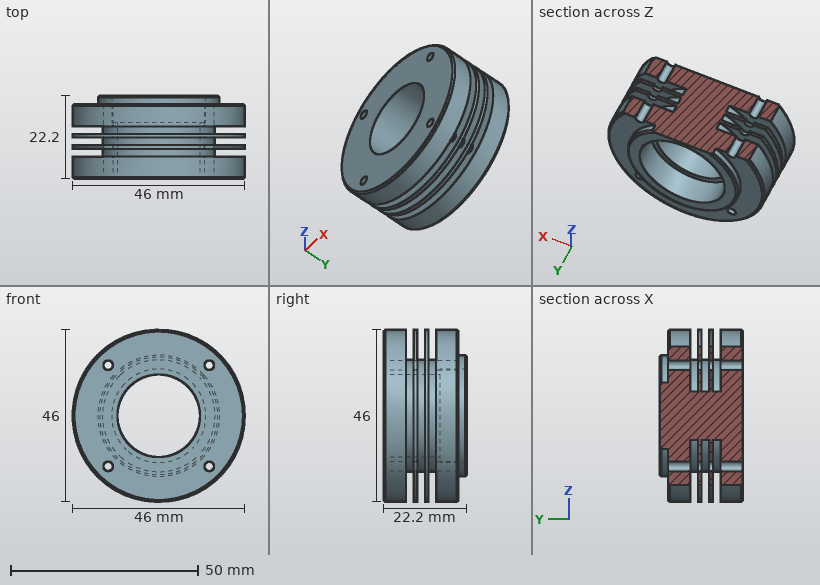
import cadquery as cq

outer_diameter = 46
core_diameter = 30.0
boss_diameter = 32.5
bore_diameter = 22.0
counterbore_diameter = 25.1

flange_width = 6
body_length = 20.0
fin_width = 1.0
fin_count = 2
boss_length = 2.2
counterbore_depth = 7.23
edge_chamfer = 0.5

hole_diameter = 2.5
hole_spacing = 27.0

groove_length = body_length - 2 * flange_width
gap_width = (groove_length - fin_count * fin_width) / (fin_count + 1)
fin_pitch = gap_width + fin_width
total_length = body_length + boss_length


def disc(diameter, start, length):
    """Solid cylinder along +Y, beginning at y = start."""
    plane = cq.Plane(origin=(0, start, 0), xDir=(1, 0, 0), normal=(0, 1, 0))
    return cq.Workplane(plane).circle(diameter / 2).extrude(length)


front_flange = disc(outer_diameter, 0, flange_width)
front_flange = front_flange.faces("<Y").chamfer(edge_chamfer)
rear_flange = disc(outer_diameter, body_length - flange_width, flange_width)
rear_flange = rear_flange.faces(">Y").chamfer(edge_chamfer)
boss = disc(boss_diameter, body_length - flange_width, flange_width + boss_length)
boss = boss.faces(">Y").chamfer(edge_chamfer)

body = front_flange.union(disc(core_diameter, 0, body_length)).union(rear_flange).union(boss)
for index in range(fin_count):
    fin_start = flange_width + gap_width + index * fin_pitch
    body = body.union(disc(outer_diameter, fin_start, fin_width))

body = body.cut(disc(bore_diameter, 0, total_length))
body = body.cut(disc(counterbore_diameter, total_length - counterbore_depth, counterbore_depth))

for x_side in (-1, 1):
    for z_side in (-1, 1):
        offset = (x_side * hole_spacing / 2, 0, z_side * hole_spacing / 2)
        body = body.cut(disc(hole_diameter, 0, total_length).translate(offset))

result = body